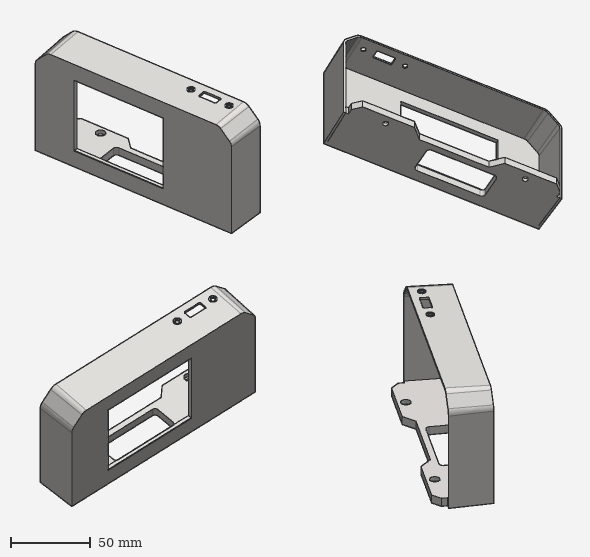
import cadquery as cq
import math

width = 155.0
height = 80.0
depth = 29.1
taper_inset = 1.1
corner_leg = 10.5
corner_radius = 6.2
wall = 1.5
front_wall = 3.0

window_left = -46.0
window_right = 23.1
window_bottom = 12.2
window_top = 66.7
window_bevel = 0.3

floor_thickness = 5.9
floor_half_width = 74.1
tab_reach = 9.3
tab_corner = 5.3
strip_reach = 1.9
tab_inner_x = 32.1
tab_hole_x = 49.6
tab_hole_y = 3.7
tab_hole_diameter = 3.5
tab_bore_diameter = 6.5
tab_bore_depth = 3.1

opening_left = -33.3
opening_right = 16.3
opening_back = -2.5
opening_front = -21.7
opening_radius = 2.5

connector_x = 44.3
connector_y = -8.2
slot_length = 13.3
slot_width = 6.0
slot_radius = 0.8
screw_spacing = 29.6
screw_hole_diameter = 3.3
screw_bore_diameter = 5.3
screw_bore_depth = 0.8


def outline(y, inset):
    """Shell outline at depth y, inset equally on the sides, corners and top."""
    half = width / 2 - inset
    top = height - inset
    leg = corner_leg - inset * (2 - math.sqrt(2))
    radius = corner_radius - inset
    half_bend = math.radians(45 / 2)
    tangent = radius * math.tan(half_bend)
    slant = tangent * math.sqrt(0.5)
    to_arc = radius / math.cos(half_bend) - radius
    along = to_arc * math.cos(half_bend)
    across = to_arc * math.sin(half_bend)
    shoulder = top - leg
    crown = half - leg
    return (
        cq.Workplane("XZ", origin=(0, y, 0))
        .moveTo(-half, 0)
        .lineTo(-half, shoulder - tangent)
        .threePointArc((-half + along, shoulder - across), (-half + slant, shoulder + slant))
        .lineTo(-crown - slant, top - slant)
        .threePointArc((-crown + across, top - along), (-crown + tangent, top))
        .lineTo(crown - tangent, top)
        .threePointArc((crown - across, top - along), (crown + slant, top - slant))
        .lineTo(half - slant, shoulder + slant)
        .threePointArc((half - along, shoulder - across), (half, shoulder - tangent))
        .lineTo(half, 0)
        .close()
        .wires()
        .val()
    )


def tapered_body(length, offset):
    """Body from y = 0 to y = -length, parallel to the outer skin at the given offset."""
    front_inset = offset + taper_inset * length / depth
    return cq.Workplane(cq.Solid.makeLoft([outline(0, offset), outline(-length, front_inset)], True))


def box(x_min, x_max, y_min, y_max, z_min, z_max):
    return cq.Workplane(
        cq.Solid.makeBox(x_max - x_min, y_max - y_min, z_max - z_min, cq.Vector(x_min, y_min, z_min))
    )


def make_floor():
    """Floor plate, with a narrow strip between the two tabs."""
    tab_base_x = tab_inner_x - (tab_reach - strip_reach)
    tab_side_y = tab_reach - tab_corner
    right_side = [
        (tab_base_x, strip_reach),
        (tab_inner_x, tab_reach),
        (floor_half_width - tab_corner, tab_reach),
        (floor_half_width, tab_side_y),
        (floor_half_width, 0),
        (width / 2 - wall, 0),
        (width / 2 - wall - taper_inset, front_wall - depth),
    ]
    left_side = [(-x, y) for x, y in reversed(right_side)]
    return cq.Workplane("XY").polyline(right_side + left_side).close().extrude(floor_thickness)


def make_floor_opening():
    opening = box(opening_left, opening_right, opening_front, opening_back, 0, floor_thickness)
    return opening.edges("|Z").fillet(opening_radius)


def make_window():
    """Window cutter, flaring up and down over the last bit of the front wall."""
    front = -depth
    back = front_wall - depth
    bevel_end = front + window_bevel
    section = [
        (back, window_bottom + window_bevel),
        (bevel_end, window_bottom + window_bevel),
        (front, window_bottom),
        (front, window_top),
        (bevel_end, window_top - window_bevel),
        (back, window_top - window_bevel),
    ]
    start = cq.Workplane("YZ", origin=(window_left, 0, 0))
    return start.polyline(section).close().extrude(window_right - window_left)


def stepped_hole(x, y, top, length, diameter, bore_diameter, bore_depth):
    """Vertical hole going down from z = top, with a wider bore at its mouth."""
    mouth = cq.Workplane("XY", origin=(x, y, top))
    return mouth.circle(diameter / 2).extrude(-length).union(mouth.circle(bore_diameter / 2).extrude(-bore_depth))


shell = tapered_body(depth, 0).cut(tapered_body(depth - front_wall, wall))
result = shell.union(make_floor()).cut(make_floor_opening())

result = result.cut(make_window())

for side in (-1, 1):
    result = result.cut(
        stepped_hole(
            side * tab_hole_x, tab_hole_y, floor_thickness, floor_thickness,
            tab_hole_diameter, tab_bore_diameter, tab_bore_depth,
        )
    )

top_cut_depth = 2 * wall
slot = (
    cq.Workplane("XY", origin=(connector_x, connector_y, height))
    .rect(slot_length, slot_width)
    .extrude(-top_cut_depth)
    .edges("|Z")
    .fillet(slot_radius)
)
result = result.cut(slot)
for side in (-1, 1):
    result = result.cut(
        stepped_hole(
            connector_x + side * screw_spacing / 2, connector_y, height, top_cut_depth,
            screw_hole_diameter, screw_bore_diameter, screw_bore_depth,
        )
    )